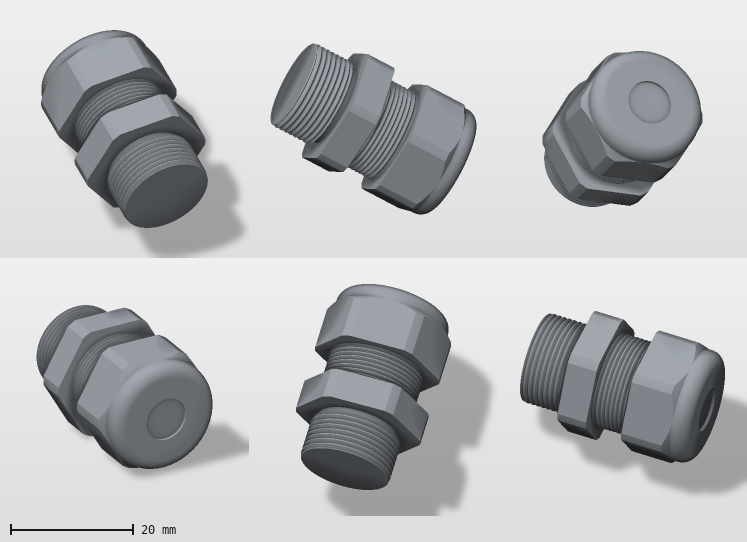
import cadquery as cq
import math


hex_across_flats = 19.05
hex_corner_diameter = 21.13
flat_radius = hex_across_flats / 2
corner_radius = hex_corner_diameter / 2

total_length = 29.97
nut_end = 10.88
collar_start = 17.05
collar_end = 22.1

dome_radius = 2.07
dome_length = 2.85
cone_length = corner_radius - flat_radius
socket_start = dome_length + cone_length

core_radius = 3.93
recess_radius = 3.7
recess_depth = 0.5

crest_flat = 0.12
nut_thread_pitch = 0.76
nut_thread_crest = 7.97
nut_thread_root = 7.43
nut_thread_first_crest = 11.63
nut_thread_count = 7

entry_thread_pitch = 0.887
entry_thread_crest = 7.6
entry_thread_root = 7.05
entry_thread_first_crest = 23.83
entry_thread_count = 7
end_chamfer = 0.27

relief_radius = 0.8
relief_center = 22.3


def hex_prism(start, end):
    """Hexagonal prism along X with its corners pointing along Y."""
    across_corners = hex_across_flats / math.cos(math.pi / 6)
    return cq.Workplane("YZ", origin=(start, 0, 0)).polygon(6, across_corners).extrude(end - start)


def cylinder(start, end, radius):
    return cq.Workplane("YZ", origin=(start, 0, 0)).circle(radius).extrude(end - start)


def revolve_about_x(profile):
    return profile.close().revolve(360, (0, 0, 0), (1, 0, 0))


def thread_ridges(first_crest, pitch, count, crest, root):
    """Profile points of a row of V ridges, each ridge led by its root."""
    points = []
    for i in range(count):
        x = first_crest + i * pitch
        points.append((x - pitch / 2, root))
        points.append((x - crest_flat / 2, crest))
        points.append((x + crest_flat / 2, crest))
    points.append((first_crest + (count - 0.5) * pitch, root))
    return points


def make_nut():
    arc_middle = dome_radius * math.sqrt(0.5)
    dome = revolve_about_x(
        cq.Workplane("XY")
        .moveTo(0, 0)
        .lineTo(0, flat_radius - dome_radius)
        .threePointArc(
            (dome_radius - arc_middle, flat_radius - dome_radius + arc_middle),
            (dome_radius, flat_radius),
        )
        .lineTo(dome_length, flat_radius)
        .lineTo(dome_length, 0)
    )
    turned_blank = revolve_about_x(
        cq.Workplane("XY")
        .moveTo(dome_length, 0)
        .lineTo(dome_length, flat_radius)
        .lineTo(dome_length + cone_length, corner_radius)
        .lineTo(nut_end, corner_radius)
        .lineTo(nut_end, 0)
    )
    hexagon = hex_prism(dome_length, nut_end).intersect(turned_blank)
    nut = dome.union(hexagon)
    nut = nut.cut(cylinder(0, socket_start, core_radius))
    return nut.cut(cylinder(socket_start, nut_end, nut_thread_crest))


def make_front_shaft():
    """Core, plain shank in the nut's socket and the thread between nut and collar."""
    return revolve_about_x(
        cq.Workplane("XY")
        .moveTo(recess_depth, 0)
        .lineTo(recess_depth, recess_radius)
        .lineTo(0, recess_radius)
        .lineTo(0, core_radius)
        .lineTo(socket_start, core_radius)
        .lineTo(socket_start, nut_thread_crest)
        .lineTo(nut_end, nut_thread_crest)
        .polyline(
            thread_ridges(
                nut_thread_first_crest,
                nut_thread_pitch,
                nut_thread_count,
                nut_thread_crest,
                nut_thread_root,
            ),
            includeCurrent=True,
        )
        .lineTo(collar_start - crest_flat, nut_thread_crest)
        .lineTo(collar_start, nut_thread_crest)
        .lineTo(collar_start, 0)
    )


def make_collar():
    return hex_prism(collar_start, collar_end).intersect(
        cylinder(collar_start, collar_end, corner_radius)
    )


def make_entry_shaft():
    """Threaded shaft behind the collar, with a relief groove and a chamfered end."""
    shaft = revolve_about_x(
        cq.Workplane("XY")
        .moveTo(collar_end, 0)
        .lineTo(collar_end, entry_thread_crest)
        .lineTo(entry_thread_first_crest - entry_thread_pitch, entry_thread_crest)
        .polyline(
            thread_ridges(
                entry_thread_first_crest,
                entry_thread_pitch,
                entry_thread_count,
                entry_thread_crest,
                entry_thread_root,
            ),
            includeCurrent=True,
        )
        .lineTo(total_length - end_chamfer / 2, entry_thread_crest - end_chamfer / 2)
        .lineTo(total_length, entry_thread_crest - end_chamfer)
        .lineTo(total_length, 0)
    )
    relief = (
        cq.Workplane("XY")
        .center(relief_center, entry_thread_crest)
        .circle(relief_radius)
        .revolve(360, (0, -entry_thread_crest, 0), (1, -entry_thread_crest, 0))
    )
    return shaft.cut(relief)


nut = make_nut()
gland_body = make_front_shaft().union(make_collar()).union(make_entry_shaft())

result = cq.Compound.makeCompound([nut.solids().val(), gland_body.solids().val()])